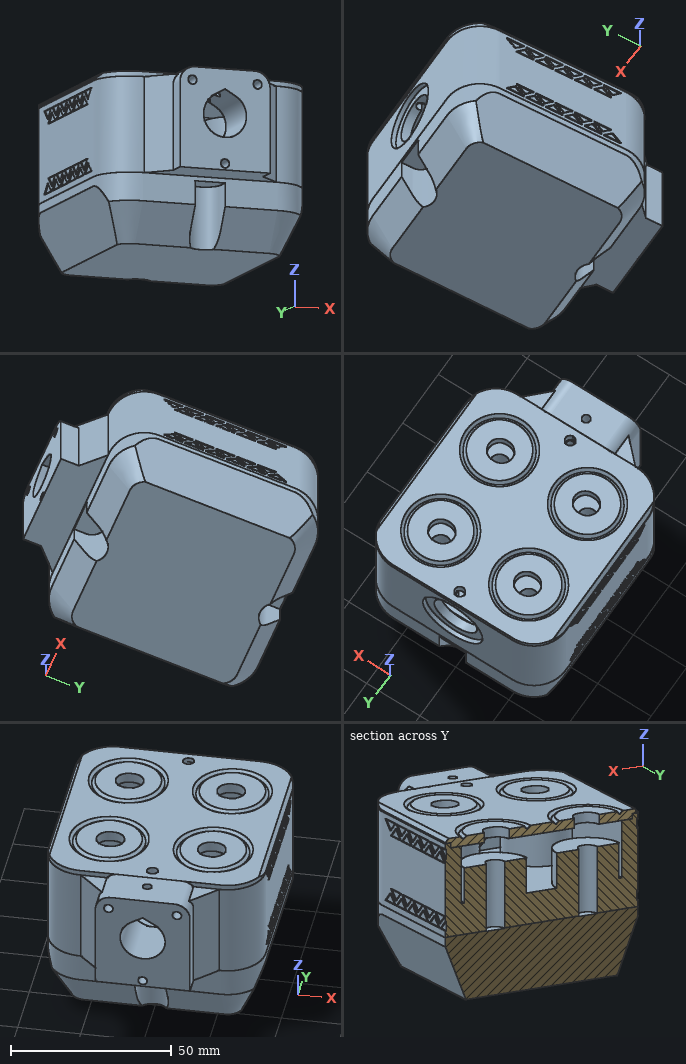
import cadquery as cq
import math

width = 69.0
length = 70.0
height = 53.5
corner_radius = 12.0

lid_thickness = 1.7
housing_bottom = 21.3
housing_top = height - lid_thickness

post_spacing = 33.0
post_center_y = 0.5
post_diameter = 22.4
post_top = 43.2
post_bore_diameter = 6.4
cavity_width = post_spacing + 2 * corner_radius
end_wall = 5.0
cavity_length = length - 2 * end_wall
cavity_floor = 31.7

lid_side_chamfer = 1.25
plug_depth = 1.7
plug_inset = 2.0
plug_bottom = housing_top - plug_depth
ring_outer_diameter = 24.9
ring_inner_diameter = 20.75
ring_depth = 1.0
lid_opening_diameter = 8.0
lid_opening_shift = 0.8

screw_inset = 4.0
screw_y = length / 2 - screw_inset
lid_screw_diameter = 3.5
housing_screw_diameter = 2.8
screw_slot_width = 10.0
screw_slot_top = 19.9

block_width = 30.05
block_length = 13.0
block_corner_radius = 5.0
gusset_half_width = 22.0
block_hole_diameter = 2.8
block_hole_depth = 8.3
block_hole_x = 10.9
block_upper_hole_z = 49.3
block_lower_hole_z = 23.4
clamp_hole_inset = 5.0

port_diameter = 14.3
port_z = cavity_floor + port_diameter / 2
port_roof_angle = 30.0
rear_port_diameter = 16.0
rear_recess_diameter = 22.4
rear_recess_depth = 1.7

triangle_half_width = 3.1
triangle_pitch = 7.05
triangle_depth = 0.3
triangle_long_row = 6
triangle_row_y = -0.5
triangle_band_height = 4.6
upper_band_z = 47.7
lower_band_z = 25.8

side_taper_height = 18.35
side_taper_run = 7.4
end_taper_height = 12.4
end_taper_angle = 30.0
end_taper_run = end_taper_height * math.tan(math.radians(end_taper_angle))


def rounded_block(size_x, size_y, radius, bottom, top):
    """Upright block with rounded vertical corners."""
    return (
        cq.Workplane("XY", origin=(0, 0, bottom))
        .rect(size_x, size_y)
        .extrude(top - bottom)
        .edges("|Z")
        .fillet(radius)
    )


def plug():
    """Step under the lid that sits in the rim of the housing."""
    return rounded_block(
        width - 2 * plug_inset,
        length - 2 * plug_inset,
        corner_radius - plug_inset,
        plug_bottom,
        housing_top,
    )


def upright_cylinders(points, diameter, bottom, top):
    """Upright cylinders of one size at the given XY points."""
    return (
        cq.Workplane("XY", origin=(0, 0, bottom))
        .pushPoints(points)
        .circle(diameter / 2)
        .extrude(top - bottom)
    )


def wedge_pair(profile, size_y):
    """XZ profile extruded along Y, together with its mirror image across X = 0."""
    wedge = cq.Workplane("XZ").polyline(profile).close().extrude(size_y / 2, both=True)
    return wedge.union(wedge.mirror("YZ"))


post_points = [
    (side_x * post_spacing / 2, post_center_y + side_y * post_spacing / 2)
    for side_x in (-1, 1)
    for side_y in (-1, 1)
]
screw_points = [(0, -screw_y), (0, screw_y)]


def ring_groove(x, y):
    """V-shaped ring groove in the top face around one post."""
    outer = ring_outer_diameter / 2
    inner = ring_inner_diameter / 2
    profile = [(inner, 0), ((inner + outer) / 2, -ring_depth), (outer, 0)]
    return (
        cq.Workplane("XZ")
        .polyline(profile)
        .close()
        .revolve(360, (0, 0), (0, 1))
        .translate((x, y, height))
    )


def lid_opening(x, y):
    """Opening over one post, lengthened towards the middle of the lid."""
    slot_x = x - math.copysign(lid_opening_shift / 2, x)
    return (
        cq.Workplane("XY", origin=(slot_x, y, plug_bottom))
        .slot2D(lid_opening_diameter + lid_opening_shift, lid_opening_diameter)
        .extrude(height - plug_bottom)
    )


def make_lid():
    lid = rounded_block(width, length, corner_radius, housing_top, height)
    lid = lid.union(plug())
    chamfer_profile = [
        (width / 2, height),
        (width / 2 - lid_side_chamfer, height),
        (width / 2, height - lid_side_chamfer),
    ]
    lid = lid.cut(wedge_pair(chamfer_profile, length))
    for x, y in post_points:
        lid = lid.cut(ring_groove(x, y)).cut(lid_opening(x, y))
    return lid.cut(upright_cylinders(screw_points, lid_screw_diameter, plug_bottom, height))


def mounting_block():
    """Front block with rounded upper corners, braced by a 45 degree gusset on each side."""
    front_y = -length / 2 - block_length
    block = (
        cq.Workplane("XY", origin=(0, -length / 2 - block_length / 2, housing_bottom))
        .rect(block_width, block_length)
        .extrude(height - housing_bottom)
        .edges("|Y and >Z")
        .fillet(block_corner_radius)
    )
    gusset_depth = gusset_half_width - block_width / 2 + block_corner_radius
    gusset_profile = [
        (-gusset_half_width, -length / 2),
        (gusset_half_width, -length / 2),
        (gusset_half_width - gusset_depth, -length / 2 - gusset_depth),
        (gusset_depth - gusset_half_width, -length / 2 - gusset_depth),
    ]
    gussets = (
        cq.Workplane("XY", origin=(0, 0, housing_bottom))
        .polyline(gusset_profile)
        .close()
        .extrude(housing_top - housing_bottom)
    )
    block = block.union(gussets)

    face_holes = (
        cq.Workplane("XZ", origin=(0, front_y, 0))
        .pushPoints([
            (-block_hole_x, block_upper_hole_z),
            (block_hole_x, block_upper_hole_z),
            (0, block_lower_hole_z),
        ])
        .circle(block_hole_diameter / 2)
        .extrude(-block_hole_depth)
    )
    clamp_point = (0, -length / 2 - clamp_hole_inset)
    clamp_hole = upright_cylinders([clamp_point], block_hole_diameter, port_z, height)
    return block.cut(face_holes).cut(clamp_hole)


def port():
    """Round passage with a peaked roof, running through the block and the front wall."""
    radius = port_diameter / 2
    roof = math.radians(port_roof_angle)
    tangent_x = radius * math.sin(roof)
    tangent_z = port_z + radius * math.cos(roof)
    peak_z = port_z + radius / math.cos(roof)
    return (
        cq.Workplane("XZ")
        .moveTo(-tangent_x, tangent_z)
        .lineTo(0, peak_z)
        .lineTo(tangent_x, tangent_z)
        .threePointArc((0, port_z - radius), (-tangent_x, tangent_z))
        .close()
        .extrude(length / 2 + block_length)
    )


def rear_port():
    """Round passage through the back wall with a shallow recess on its outer side."""
    passage = (
        cq.Workplane("XZ", origin=(0, length / 2, port_z))
        .circle(rear_port_diameter / 2)
        .extrude(end_wall)
    )
    recess = (
        cq.Workplane("XZ", origin=(0, length / 2, port_z))
        .circle(rear_recess_diameter / 2)
        .extrude(rear_recess_depth)
    )
    return passage.union(recess)


def triangle_recess(y, base_z, direction):
    """Triangular recess in both sides; the tip points up (1) or down (-1)."""
    profile = [
        (y - triangle_half_width, base_z),
        (y + triangle_half_width, base_z),
        (y, base_z + direction * triangle_half_width),
    ]
    recess = (
        cq.Workplane("YZ", origin=(width / 2 - triangle_depth, 0, 0))
        .polyline(profile)
        .close()
        .extrude(triangle_depth)
    )
    return [recess.val(), recess.mirror("YZ").val()]


def triangle_row(count, base_z, direction):
    first_y = triangle_row_y - (count - 1) * triangle_pitch / 2
    recesses = []
    for i in range(count):
        recesses += triangle_recess(first_y + i * triangle_pitch, base_z, direction)
    return recesses


def triangle_recesses():
    """Two bands of interlocking triangles; the longer row of each is the outer one."""
    half = triangle_band_height / 2
    short_row = triangle_long_row - 1
    return cq.Compound.makeCompound(
        triangle_row(triangle_long_row, upper_band_z + half, -1)
        + triangle_row(short_row, upper_band_z - half, 1)
        + triangle_row(short_row, lower_band_z + half, -1)
        + triangle_row(triangle_long_row, lower_band_z - half, 1)
    )


def make_housing():
    housing = rounded_block(width, length, corner_radius, housing_bottom, housing_top)
    housing = housing.union(mounting_block())
    cavity = rounded_block(cavity_width, cavity_length, corner_radius, cavity_floor, plug_bottom)
    housing = housing.cut(cavity)
    housing = housing.cut(plug())
    housing = housing.cut(port()).cut(rear_port())
    housing = housing.union(upright_cylinders(post_points, post_diameter, cavity_floor, post_top))
    housing = housing.cut(
        upright_cylinders(post_points, post_bore_diameter, housing_bottom, post_top)
    )
    housing = housing.cut(
        upright_cylinders(screw_points, housing_screw_diameter, port_z, plug_bottom)
    )
    return housing.cut(cq.Workplane(triangle_recesses()))


def screw_slots():
    """Round-ended slots below the screws, open to the front and back faces and the underside."""
    mouth_y = (length - screw_inset) / 2
    mouths = (
        cq.Workplane("XY")
        .pushPoints([(0, -mouth_y), (0, mouth_y)])
        .rect(screw_slot_width, screw_inset)
        .extrude(screw_slot_top)
    )
    return mouths.union(upright_cylinders(screw_points, screw_slot_width, 0, screw_slot_top))


def make_base():
    base = rounded_block(width, length, corner_radius, 0, housing_bottom)
    base = base.faces("<Z").chamfer(end_taper_height, end_taper_run)
    side_profile = [
        (width / 2 - side_taper_run, 0),
        (width / 2, side_taper_height),
        (width / 2, 0),
    ]
    base = base.cut(wedge_pair(side_profile, length))
    return base.cut(screw_slots())


lid = make_lid()
housing = make_housing()
base = make_base()

result = cq.Compound.makeCompound([lid.val(), housing.val(), base.val()])